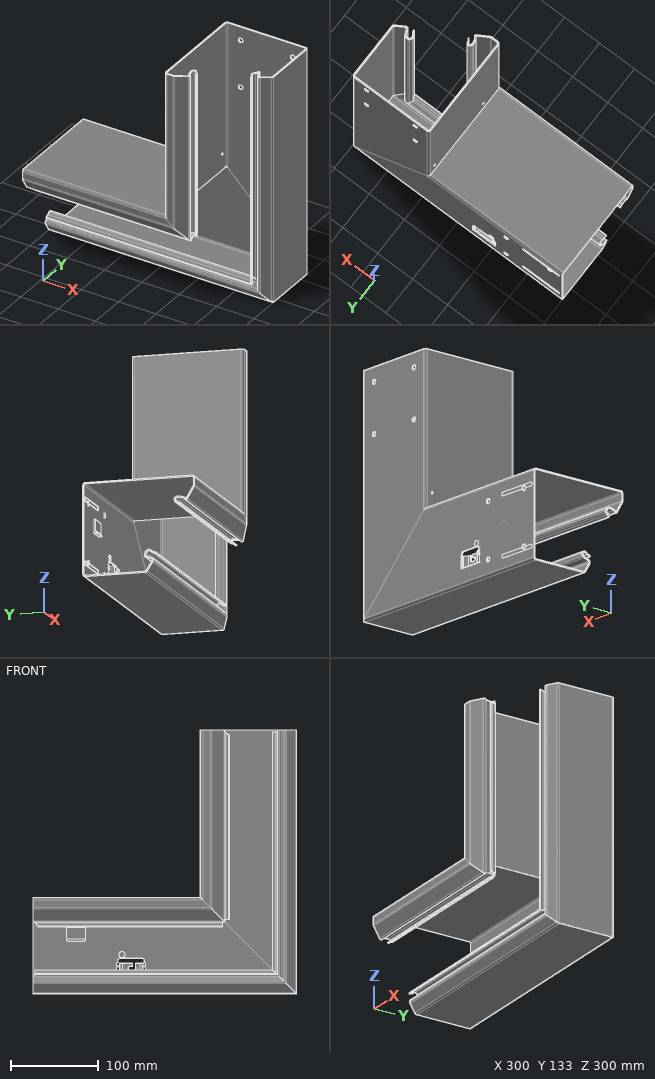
import cadquery as cq
import math


leg_length = 300.0
leg_width = 109.8
inner_wall_depth = 133.0
outer_wall_depth = 76.0

sheet = 1.5
wall_bend = 1.5
lip_bend = 0.5

hole_diameter = 5.7
hole_stations = (18.0, 80.5)
hole_edge_offset = 20.0
groove_start = 4.5
groove_end = 57.0
groove_height = 4.5
groove_relief = 0.75
groove_edge_offset = 17.7

pin_diameter = 2.5
pin_depths = (10.5, 101.7)
pin_height = 129.3

tray_cope = 2.5
tray_back = 72.3
tray_cope_height = 21.5
hook_cope_start = 2.5
hook_cope_end = 6.5
hook_top = 82.0
hook_tip = 75.5
hook_back = 108.0
hook_front = 119.5
hook_inner_end = 215.5

tab_left = 38.0
tab_right = 59.7
tab_bottom = 59.5
tab_top = 75.5
tab_depth = 3.3
tab_ledge_depth = 5.0
tab_ledge_height = 3.3
tab_corner = 1.5

window_left = 97.0
window_right = 126.5
window_bottom = 20.7
window_top = 40.5
window_corner = 2.5
shoulder_width = 1.5
bridge_top = 35.0
bridge_left = 98.7
bridge_right = 125.0
bridge_depth = 6.3
bridge_slant = 3.0
tie_bottom = 30.5
tie_height = 1.8
slit_left = 113.5
slit_right = 116.7
eye_length = 8.5
eye_height = 4.5
eye_center = (112.8, 29.0)

dimple_diameter = 7.0
dimple_relief = 0.75
dimple_center = (101.5, 44.7)

section_path = [
    (22.0, 85.8, 0),
    (23.5, 81.5, lip_bend),
    (26.0, 78.0, lip_bend),
    (24.0, 74.7, lip_bend),
    (19.5, 74.7, lip_bend),
    (16.2, 83.7, lip_bend),
    (12.5, 83.7, wall_bend),
    (0.0, outer_wall_depth, wall_bend),
    (0.0, 0.0, wall_bend),
    (leg_width, 0.0, wall_bend),
    (leg_width, inner_wall_depth, wall_bend),
    (97.2, inner_wall_depth, wall_bend),
    (80.5, 123.0, lip_bend),
    (84.0, 119.0, lip_bend),
    (85.2, 112.8, lip_bend),
    (84.0, 110.0, lip_bend),
    (81.3, 110.0, lip_bend),
    (80.0, 114.0, lip_bend),
    (77.5, 117.3, 0),
]


def unit(start, end):
    """Unit direction from start to end."""
    length = math.dist(start, end)
    return (end[0] - start[0]) / length, (end[1] - start[1]) / length


def folded_outline(path):
    """Closed outline, as (point, radius) corners, of a sheet folded along its outer face."""
    outer_side = []
    inner_side = []
    last = len(path) - 1
    for i, (height, depth, bend) in enumerate(path):
        before = unit(path[max(i - 1, 0)][:2], path[max(i, 1)][:2])
        after = unit(path[min(i, last - 1)][:2], path[min(i + 1, last)][:2])
        turn = before[0] * after[1] - before[1] * after[0]
        cosine = before[0] * after[0] + before[1] * after[1]
        reach = sheet / (1 + cosine)
        shift_height = -(before[1] + after[1]) * reach
        shift_depth = (before[0] + after[0]) * reach
        wide = bend + sheet if bend else 0
        turns_inward = turn > 0
        outer_side.append(((height, depth), wide if turns_inward else bend))
        inner_side.append(((height + shift_height, depth + shift_depth), bend if turns_inward else wide))
    return outer_side + inner_side[::-1]


def rounded_profile(workplane, corners):
    """Closed wire through the corners, each rounded by its own radius."""
    rounded = []
    for i, (corner, radius) in enumerate(corners):
        towards_last = unit(corner, corners[i - 1][0])
        towards_next = unit(corner, corners[(i + 1) % len(corners)][0])
        cosine = towards_last[0] * towards_next[0] + towards_last[1] * towards_next[1]
        half_angle = math.acos(cosine) / 2
        setback = radius / math.tan(half_angle)
        to_arc = radius / math.sin(half_angle) - radius
        bisector = unit((0, 0), (towards_last[0] + towards_next[0], towards_last[1] + towards_next[1]))
        offsets = ((towards_last, setback), (bisector, to_arc), (towards_next, setback))
        points = [(corner[0] + way[0] * size, corner[1] + way[1] * size) for way, size in offsets]
        rounded.append((radius, points))
    workplane = workplane.moveTo(-rounded[0][1][2][1], rounded[0][1][2][0])
    for radius, points in rounded[1:]:
        start, middle, end = [(-depth, height) for height, depth in points]
        workplane = workplane.lineTo(*start)
        if radius:
            workplane = workplane.threePointArc(middle, end)
    return workplane.close()


def block(x_range, depth_range, z_range):
    """Box given by its limits along X, depth and Z."""
    size = [high - low for low, high in (x_range, depth_range, z_range)]
    corner = (x_range[0], -depth_range[1], z_range[0])
    return cq.Workplane("XY").box(*size, centered=False).translate(corner)


def front_plane(depth):
    """Sketch plane parallel to the back plate; extruding goes towards the open side."""
    return cq.Workplane("XZ", origin=(0, -depth, 0))


def back_holes():
    points = [(x, z) for x in hole_stations for z in (hole_edge_offset, leg_width - hole_edge_offset)]
    return front_plane(0).pushPoints(points).circle(hole_diameter / 2).extrude(sheet)


def end_copes():
    """Cutters that trim the tray and the hook of the lips at the open end and the mitre."""
    tray = block((0, tray_cope), (tray_back, inner_wall_depth), (tray_cope_height, leg_width / 2))
    hook = (
        front_plane(hook_back)
        .polyline([(0, hook_top), (hook_cope_start, hook_top), (hook_cope_end, hook_tip), (0, hook_tip)])
        .close()
        .extrude(hook_front - hook_back)
    )
    inner_end = block((hook_inner_end, leg_length), (hook_back, hook_front), (hook_tip, hook_top))
    return tray.union(hook).union(inner_end)


def plain_leg():
    """Leg along X, cut at 45 degrees at its far end."""
    leg = rounded_profile(cq.Workplane("YZ"), folded_outline(section_path)).extrude(leg_length)
    mitre = (
        front_plane(0)
        .polyline([(0, 0), (leg_length, 0), (leg_length - leg_width, leg_width), (0, leg_width)])
        .close()
        .extrude(inner_wall_depth)
    )
    return leg.intersect(mitre).cut(back_holes()).cut(end_copes())


def upright(leg):
    """Copy of a leg mirrored across the mitre plane, so that it runs along Z."""
    turned = leg.mirror("YZ").rotate((0, 0, 0), (0, 1, 0), -90)
    return turned.translate((leg_length, 0, leg_length))


def grooves():
    """Shallow rounded grooves in the inner face of the back plate."""
    length = groove_end - groove_start
    middle = (groove_start + groove_end) / 2
    points = [(middle, z) for z in (groove_edge_offset, leg_width - groove_edge_offset)]
    return front_plane(sheet - groove_relief).pushPoints(points).slot2D(length, groove_height).extrude(sheet)


def latch_tab():
    plate = block((tab_left, tab_right), (0, tab_depth), (tab_bottom, tab_top))
    ledge_top = tab_bottom + tab_ledge_height
    ledge_profile = [
        (0, tab_bottom),
        (-tab_ledge_depth, tab_bottom),
        (-tab_depth, ledge_top),
        (0, ledge_top),
    ]
    ledge = (
        cq.Workplane("YZ", origin=(tab_left, 0, 0))
        .polyline(ledge_profile)
        .close()
        .extrude(tab_right - tab_left)
    )
    return plate.union(ledge).edges("|Y and <Z").chamfer(tab_corner)


def window():
    middle = (window_left + window_right) / 2
    width = window_right - window_left
    height = window_top - window_bottom
    opening = (
        front_plane(0)
        .center(middle, window_bottom + height / 2)
        .rect(width, height)
        .extrude(sheet)
        .edges("|Y and >Z")
        .fillet(window_corner)
    )
    shoulders = block((window_left - shoulder_width, window_right + shoulder_width), (0, sheet),
                      (window_bottom, bridge_top))
    return opening.union(shoulders)


def bridge():
    """Raised strip across the window, slit open at the top into a rounded eye."""
    outer_face = [
        (bridge_left, 0),
        (bridge_left + bridge_slant, -bridge_depth),
        (bridge_right - bridge_slant, -bridge_depth),
        (bridge_right, 0),
    ]
    inner_face = [
        (bridge_right - sheet, 0),
        (bridge_right - bridge_slant - sheet, sheet - bridge_depth),
        (bridge_left + bridge_slant + sheet, sheet - bridge_depth),
        (bridge_left + sheet, 0),
    ]
    strip = (
        cq.Workplane("XY", origin=(0, 0, window_bottom))
        .polyline(outer_face + inner_face)
        .close()
        .extrude(bridge_top - window_bottom)
    )
    slit = block((slit_left, slit_right), (0, bridge_depth), (eye_center[1], bridge_top))
    eye = front_plane(0).center(*eye_center).slot2D(eye_length, eye_height).extrude(bridge_depth)
    strip = strip.cut(slit).cut(eye)
    tie_heights = (tie_bottom, tie_bottom + tie_height)
    left_tie = block((window_left - shoulder_width, bridge_left + sheet), (0, sheet), tie_heights)
    right_tie = block((bridge_right - sheet, window_right + shoulder_width), (0, sheet), tie_heights)
    return strip.union(left_tie).union(right_tie)


def dimple():
    return (
        front_plane(sheet - dimple_relief)
        .center(*dimple_center)
        .circle(dimple_diameter / 2)
        .extrude(sheet)
    )


def pin_holes():
    points = [(-depth, pin_height) for depth in pin_depths]
    plane = cq.Workplane("YZ", origin=(leg_length - leg_width, 0, 0))
    return plane.pushPoints(points).circle(pin_diameter / 2).extrude(sheet)


leg = plain_leg()
flat_leg = leg.cut(grooves()).cut(dimple()).cut(window()).union(latch_tab()).union(bridge())
upright_leg = upright(leg).cut(pin_holes())
result = flat_leg.union(upright_leg, clean=False)